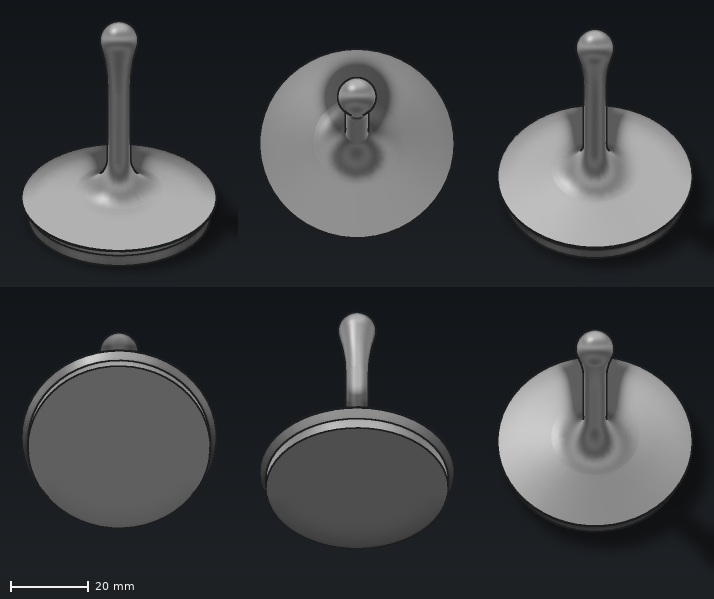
import cadquery as cq
import math

total_height = 59.3
rim_radius = 50.45 / 2
base_radius = 47.2 / 2
stem_radius = 6.0 / 2
ball_radius = 5.0

base_height = 3.2
rim_bottom = 5.5
rim_thickness = 0.3
rim_top = rim_bottom + rim_thickness

disc_slope = math.radians(9.6)
blend_radius = 10.0
blend_foot_radius = stem_radius + blend_radius * (1 - math.sin(disc_slope))
blend_foot_height = rim_top + (rim_radius - blend_foot_radius) * math.tan(disc_slope)
stem_bottom = blend_foot_height + blend_radius * math.cos(disc_slope)

ball_center = total_height - ball_radius
flare_radius = 50.0
flare_center_radius = stem_radius + flare_radius
flare_angle = math.acos(flare_center_radius / (flare_radius + ball_radius))
stem_top = ball_center - (flare_radius + ball_radius) * math.sin(flare_angle)


def flare_point(angle):
    """Point on the flare arc, at an angle above the top of the stem."""
    return (
        flare_center_radius - flare_radius * math.cos(angle),
        stem_top + flare_radius * math.sin(angle),
    )


def blend_midpoint():
    """Point halfway along the arc that joins the disc to the stem."""
    angle = (math.pi / 2 - disc_slope) / 2
    return (
        stem_radius + blend_radius * (1 - math.cos(angle)),
        stem_bottom - blend_radius * math.sin(angle),
    )


def half_profile():
    """Closed outline from the axis outwards, as (radius, height)."""
    return (
        cq.Workplane("XZ")
        .moveTo(0, 0)
        .lineTo(base_radius, 0)
        .lineTo(base_radius, base_height)
        .lineTo(rim_radius, rim_bottom)
        .lineTo(rim_radius, rim_top)
        .lineTo(blend_foot_radius, blend_foot_height)
        .threePointArc(blend_midpoint(), (stem_radius, stem_bottom))
        .lineTo(stem_radius, stem_top)
        .threePointArc(flare_point(flare_angle / 2), flare_point(flare_angle))
        .threePointArc((ball_radius, ball_center), (0, total_height))
        .close()
    )


result = half_profile().revolve(360, (0, 0, 0), (0, 1, 0))